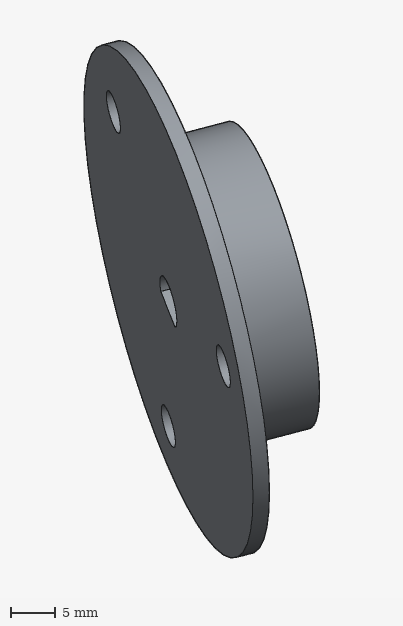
import cadquery as cq

flange_diameter = 60.0
flange_thickness = 2.0
hub_diameter = 36.0
total_depth = 12.0

hole_count = 3
hole_diameter = 5.0
hole_circle_radius = 22.5
first_hole_angle = -90.0

bore_diameter = 6.0
flat_distance = 1.6
flat_tilt = -6.0


def cylinder(diameter, depth):
    """Cylinder on the Y axis, from Y = 0 towards +Y."""
    return cq.Workplane("XZ").circle(diameter / 2).extrude(-depth)


def mounting_holes():
    return (
        cq.Workplane("XZ")
        .polarArray(hole_circle_radius, first_hole_angle, 360, hole_count)
        .circle(hole_diameter / 2)
        .extrude(-flange_thickness)
    )


def shaft_bore():
    """Round bore keeping only the side above the tilted flat."""
    bore_radius = bore_diameter / 2
    kept_height = bore_radius + flat_distance
    kept_side = (
        cq.Workplane("XZ")
        .center(0, kept_height / 2 - flat_distance)
        .rect(bore_diameter, kept_height)
        .extrude(-total_depth)
        .rotate((0, 0, 0), (0, 1, 0), -flat_tilt)
    )
    return cylinder(bore_diameter, total_depth).intersect(kept_side)


flange = cylinder(flange_diameter, flange_thickness)
hub = cylinder(hub_diameter, total_depth)
result = flange.union(hub).cut(mounting_holes()).cut(shaft_bore())